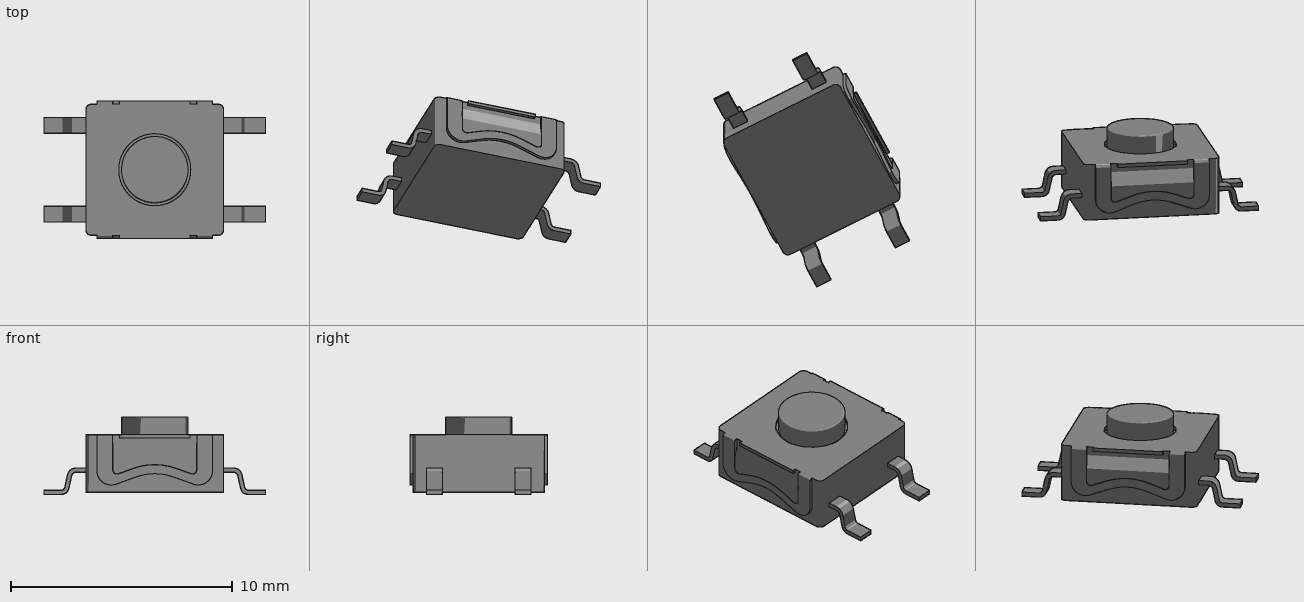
import cadquery as cq
import math

housing_x = 6.22
housing_y = 5.92
housing_bottom = 0.1
housing_top = 2.7
housing_corner_radius = 0.25
cover_thickness = 0.16

button_diameter = 3.0
button_top = 3.5
button_edge_radius = 0.05
recess_diameter = 3.25

overall_y = 6.22
sheet = (overall_y - housing_y) / 2
face_y = housing_y / 2
outer_y = overall_y / 2
strap_half_x = 2.61
window_half_x = 1.9
strap_band = 0.4
strap_crest_z = 0.94
strap_crest_radius = 2.5
strap_corner_radius = 0.65
strap_bend_radius = 0.14
window_corner_radius = 0.2
wave_angle = math.radians(20)

tab_half_x = 1.6

latch_clearance = 0.01
latch_ramp_top = 2.29
latch_ramp_bottom = 1.69
latch_blend_radius = 0.25

lead_reach = 5.0
lead_width = 0.72
lead_pitch = 4.0
lead_thickness = 0.2
shoulder_top = 1.2
shoulder_bend_x = 3.55
shoulder_bend_radius = 0.4
foot_bend_x = 4.21
foot_bend_radius = 0.15
lead_embedding = 0.1
lead_root_x = housing_x / 2 - lead_embedding


def make_housing():
    block = (
        cq.Workplane("XY")
        .workplane(offset=housing_bottom)
        .rect(housing_x, housing_y)
        .extrude(housing_top - housing_bottom)
        .edges("|Z")
        .fillet(housing_corner_radius)
    )
    recess_floor = housing_top - cover_thickness
    recess = (
        cq.Workplane("XY")
        .workplane(offset=recess_floor)
        .circle(recess_diameter / 2)
        .extrude(cover_thickness)
    )
    button = (
        cq.Workplane("XY")
        .workplane(offset=recess_floor)
        .circle(button_diameter / 2)
        .extrude(button_top - recess_floor)
        .faces(">Z")
        .edges()
        .fillet(button_edge_radius)
    )
    return block.cut(recess).union(button)


def wavy_plate(half_x, crest_z, crest_radius, corner_radius):
    """Plate on the -Y face whose lower edge drops from a round crest to two round corners."""
    apex_z = crest_z + crest_radius * (1 / math.cos(wave_angle) - 1)
    corner_z = apex_z - half_x * math.tan(wave_angle)
    return (
        cq.Workplane("XZ", origin=(0, -face_y, 0))
        .moveTo(-half_x, housing_top)
        .lineTo(-half_x, corner_z)
        .lineTo(0, apex_z)
        .lineTo(half_x, corner_z)
        .lineTo(half_x, housing_top)
        .close()
        .extrude(sheet)
        .edges("|Y")
        .edges("not (<X or >X)")
        .fillet(crest_radius)
        .edges("|Y")
        .edges("<Z")
        .fillet(corner_radius)
    )


def make_strap():
    """Bent strap with its window, plus the flat cover tab over the window."""
    plate = wavy_plate(strap_half_x, strap_crest_z, strap_crest_radius, strap_corner_radius)
    plate = plate.edges(">Z and <Y").fillet(strap_bend_radius)
    window = wavy_plate(
        window_half_x,
        strap_crest_z + strap_band,
        strap_crest_radius + strap_band,
        window_corner_radius,
    )
    tab = cq.Workplane("XY").box(2 * tab_half_x, sheet, cover_thickness, centered=(True, False, False))
    tab = tab.translate((0, -outer_y, housing_top - cover_thickness))
    return plate.cut(window).union(tab)


def make_latch():
    """Block inside the window with a ramp that leans out from the housing face."""
    filler = wavy_plate(
        window_half_x - latch_clearance,
        strap_crest_z + strap_band + latch_clearance,
        strap_crest_radius + strap_band + latch_clearance,
        window_corner_radius - latch_clearance,
    )
    wedge = (
        cq.Workplane("YZ")
        .moveTo(-face_y, latch_ramp_top)
        .lineTo(-outer_y, latch_ramp_bottom)
        .lineTo(-outer_y, housing_bottom)
        .lineTo(-face_y, housing_bottom)
        .close()
        .extrude(window_half_x, both=True)
    )
    ramp_foot = cq.selectors.NearestToPointSelector((0, -outer_y, latch_ramp_bottom))
    wedge = wedge.edges("|X").edges(ramp_foot).fillet(latch_blend_radius)
    return filler.intersect(wedge)


def make_lead():
    """Lead on the +X side, centred on Y = 0: shoulder, bend, leg, bend and foot."""
    shoulder_center_z = shoulder_top - shoulder_bend_radius
    foot_center_z = lead_thickness + foot_bend_radius
    run = foot_bend_x - shoulder_bend_x
    drop = shoulder_center_z - foot_center_z
    tangent_turn = math.acos((shoulder_bend_radius + foot_bend_radius) / math.hypot(run, drop))
    normal = tangent_turn - math.atan2(drop, run)

    def on_shoulder(radius, angle):
        return shoulder_bend_x + radius * math.cos(angle), shoulder_center_z + radius * math.sin(angle)

    def on_foot(radius, angle):
        return foot_bend_x - radius * math.cos(angle), foot_center_z - radius * math.sin(angle)

    middle = (normal + math.pi / 2) / 2
    shoulder_inner = shoulder_bend_radius - lead_thickness
    foot_outer = foot_bend_radius + lead_thickness
    return (
        cq.Workplane("XZ", origin=(0, lead_width / 2, 0))
        .moveTo(lead_root_x, shoulder_top)
        .lineTo(shoulder_bend_x, shoulder_top)
        .threePointArc(on_shoulder(shoulder_bend_radius, middle), on_shoulder(shoulder_bend_radius, normal))
        .lineTo(*on_foot(foot_bend_radius, normal))
        .threePointArc(on_foot(foot_bend_radius, middle), (foot_bend_x, lead_thickness))
        .lineTo(lead_reach, lead_thickness)
        .lineTo(lead_reach, 0)
        .lineTo(foot_bend_x, 0)
        .threePointArc(on_foot(foot_outer, middle), on_foot(foot_outer, normal))
        .lineTo(*on_shoulder(shoulder_inner, normal))
        .threePointArc(on_shoulder(shoulder_inner, middle), on_shoulder(shoulder_inner, math.pi / 2))
        .lineTo(lead_root_x, shoulder_top - lead_thickness)
        .close()
        .extrude(lead_width)
    )


result = make_housing()

for face_part in (make_strap(), make_latch()):
    result = result.union(face_part).union(face_part.mirror("XZ"))

lead = make_lead()
for y in (-lead_pitch / 2, lead_pitch / 2):
    placed = lead.translate((0, y, 0))
    result = result.union(placed).union(placed.mirror("YZ"))